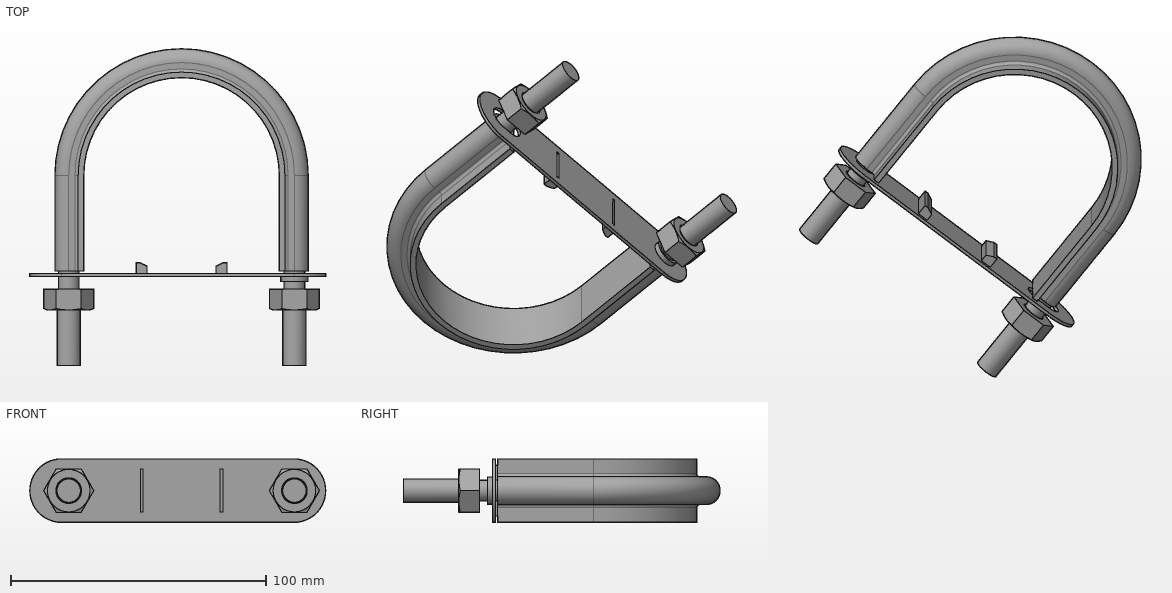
import cadquery as cq
import math

leg_x = 44.2

shank_dia = 8.2
thread_dia = 9.2
bolt_end_y = -74.5

strip_height = 25.0
strip_inner_radius = 38.3
strip_thickness = 2.2
bead_radius = 5.5
bead_fillet = 1.2
sleeve_end_y = -37.5

plate_length = 116.0
plate_height = 25.0
plate_thickness = 1.2
plate_shift_x = -1.5
plate_back_y = -38.4
plate_front_y = plate_back_y - plate_thickness

collar_dia = 10.8
collar_bore_dia = 8.3
collar_height = 2.0
slot_length = 14.9
slot_width = 10.8

tab_x = 15.6
tab_width = 4.3
tab_height = 4.2
tab_low_height = 2.9
tab_flat = 1.5
tab_length_z = 20.0
slit_width = 1.0
slit_length_z = 16.9

nut_flats = 17.0
nut_height = 8.2
nut_back_y = -44.6
nut_front_y = nut_back_y - nut_height
nut_countersink_dia = 10.0
nut_chamfer_circle_dia = 16.6
nut_chamfer_height = 0.6


def sweep_u(profile, end_y):
    """Carry a closed profile of the right leg, drawn at Y = 0, down both legs and around the arch."""
    outline = profile.val()
    leg = cq.Workplane("XZ").add(outline).toPending().extrude(-end_y)
    arch = cq.Workplane("XZ").add(outline).toPending().revolve(180, (0, 0), (0, 1))
    return arch.union(leg).union(leg.mirror("YZ"))


def cylinder_y(diameter, x, start_y, end_y):
    """Cylinder along -Y from start_y to end_y."""
    return (
        cq.Workplane("XZ", origin=(x, start_y, 0))
        .circle(diameter / 2)
        .extrude(start_y - end_y)
    )


def make_rod(end_y):
    """Plain U-shaped rod with the shank diameter."""
    return sweep_u(cq.Workplane("XZ").moveTo(leg_x, 0).circle(shank_dia / 2), end_y)


def make_u_bolt():
    """Rod whose thicker threaded ends start flush with the backs of the nuts."""
    bolt = make_rod(nut_back_y)
    for x in (-leg_x, leg_x):
        bolt = bolt.union(cylinder_y(thread_dia, x, nut_back_y, bolt_end_y))
    return bolt


def make_sleeve():
    """Strip with a round-topped bead, filleted where it meets the strip and hollow for the rod."""
    outer = strip_inner_radius + strip_thickness
    half = strip_height / 2
    foot = bead_radius + bead_fillet
    fillet_inset = bead_fillet * (1 - math.sqrt(0.5))
    fillet_mid_x = outer + fillet_inset
    fillet_mid_z = bead_radius + fillet_inset
    profile = (
        cq.Workplane("XZ")
        .moveTo(strip_inner_radius, -half)
        .lineTo(outer, -half)
        .lineTo(outer, -foot)
        .threePointArc((fillet_mid_x, -fillet_mid_z), (outer + bead_fillet, -bead_radius))
        .lineTo(leg_x, -bead_radius)
        .threePointArc((leg_x + bead_radius, 0), (leg_x, bead_radius))
        .lineTo(outer + bead_fillet, bead_radius)
        .threePointArc((fillet_mid_x, fillet_mid_z), (outer, foot))
        .lineTo(outer, half)
        .lineTo(strip_inner_radius, half)
        .close()
    )
    return sweep_u(profile, sleeve_end_y).cut(make_rod(sleeve_end_y))


def make_tab(side):
    """Upright tab on the back of the plate; its top slopes down toward the middle of the part."""
    outer_x = side * (tab_x + tab_width / 2)
    inner_x = side * (tab_x - tab_width / 2)
    return (
        cq.Workplane("XY")
        .moveTo(outer_x, plate_back_y)
        .lineTo(outer_x, plate_back_y + tab_height)
        .lineTo(outer_x - side * tab_flat, plate_back_y + tab_height)
        .lineTo(inner_x, plate_back_y + tab_low_height)
        .lineTo(inner_x, plate_back_y)
        .close()
        .extrude(tab_length_z / 2, both=True)
    )


def make_plate():
    """Round-ended plate with a slotted left hole, a collared right hole, and two slits backed by tabs."""
    face = cq.Workplane("XZ", origin=(0, plate_back_y, 0))
    plate = face.center(plate_shift_x, 0).slot2D(plate_length, plate_height).extrude(plate_thickness)
    plate = plate.cut(face.center(-leg_x, 0).slot2D(slot_length, slot_width).extrude(plate_thickness))
    slits = face.pushPoints([(-tab_x, 0), (tab_x, 0)]).rect(slit_width, slit_length_z)
    plate = plate.cut(slits.extrude(plate_thickness))

    collar_end_y = plate_front_y - collar_height
    plate = plate.union(cylinder_y(collar_dia, leg_x, plate_front_y, collar_end_y))
    plate = plate.cut(cylinder_y(collar_bore_dia, leg_x, plate_back_y, collar_end_y))

    for side in (-1, 1):
        plate = plate.union(make_tab(side))
    return plate


def make_nut(x):
    """Hexagon nut with chamfered corners and a countersunk bore on its front face."""
    corner_dia = nut_flats / math.cos(math.pi / 6)
    nut = cq.Workplane("XZ", origin=(x, nut_back_y, 0)).polygon(6, corner_dia).extrude(nut_height)

    chamfer_envelope = (
        cq.Workplane("XY", origin=(x, nut_back_y, 0))
        .lineTo(corner_dia / 2, 0)
        .lineTo(corner_dia / 2, nut_chamfer_height - nut_height)
        .lineTo(nut_chamfer_circle_dia / 2, -nut_height)
        .lineTo(0, -nut_height)
        .close()
        .revolve(360, (0, 0), (0, 1))
    )
    nut = nut.intersect(chamfer_envelope)

    nut = nut.cut(cylinder_y(thread_dia, x, nut_back_y, nut_front_y))
    countersink = cq.Solid.makeCone(
        nut_countersink_dia / 2,
        thread_dia / 2,
        (nut_countersink_dia - thread_dia) / 2,
        pnt=cq.Vector(x, nut_front_y, 0),
        dir=cq.Vector(0, 1, 0),
    )
    return nut.cut(cq.Workplane(countersink))


u_bolt = make_u_bolt()
sleeve = make_sleeve()
plate = make_plate()
nuts = [make_nut(x) for x in (-leg_x, leg_x)]

result = cq.Compound.makeCompound([
    u_bolt.val(),
    sleeve.val(),
    plate.val(),
    *[nut.val() for nut in nuts],
])